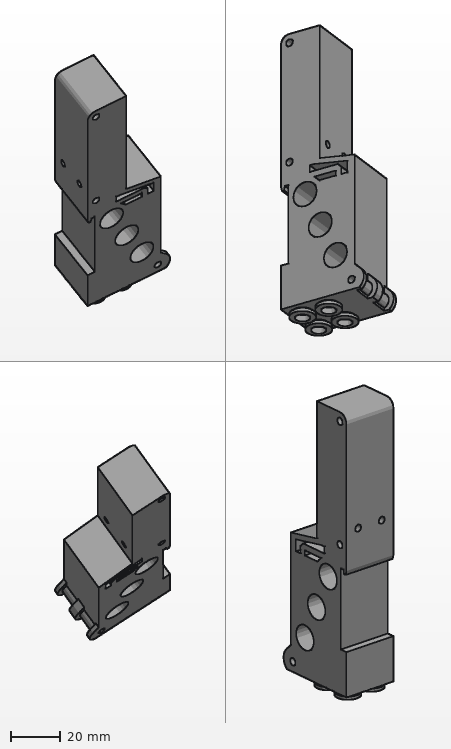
import cadquery as cq
import math


width = 25.0
total_depth = 39.49
body_height = 125.0
body_depth = 35.05

tower_depth = 18.5
top_round = 4.1
shoulder_inner_z = 64.2
shoulder_angle = math.radians(10)
shoulder_outer_z = shoulder_inner_z - (body_depth - tower_depth) * math.tan(shoulder_angle)

recess_depth = 3.5
recess_bottom_z = 20.1
recess_top_z = 56.0
lip_back_y = 1.9
lip_tip_z = 54.1
lip_tip_front_y = 0.5
lip_tip_back_y = 1.5

hinge_y = 33.6
hinge_z = 4.55
lug_radius = total_depth - hinge_y
fork_outer_tine = 2.0
fork_middle_tine = 4.3
barrel_radius = 3.6

pin_hole_diameter = 3.2
upper_pin_y = top_round
upper_pin_z = body_height - top_round
lower_pin_z = 66.3

bore_diameter = 11.0
bore_count = 3
first_bore_y = 26.0
first_bore_z = 17.75
bore_step_y = -7.25
bore_step_z = 15.95

slot_bottom_z = 54.1
slot_outer_y = 31.65
slot_inner_y = 13.75
slot_inner_top_z = 62.2
slot_flat_end_y = 15.8
tongue_outer_y = 28.85
tongue_top_z = 59.1
tongue_chamfer = 1.7
window_outer_y = 26.1
window_inner_top_y = 16.0
window_inner_bottom_y = 18.2
window_top_z = 56.4

port_pitch = 12.5
front_hole_diameter = 3.0
front_hole_z = 73.2
first_fitting_y = 6.5
neck_diameter = 8.0
neck_length = 1.15
flange_diameter = 11.0
flange_thickness = 1.45
fitting_length = 2.86
fitting_bore_diameter = 6.2

half_width = width / 2
port_positions_x = (-port_pitch / 2, port_pitch / 2)


def extrude_across(profile):
    """Extrude a closed YZ profile over the full width."""
    return profile.extrude(half_width, both=True)


def cross_cylinder(y, z, diameter):
    """Cylinder along X over the full width."""
    return extrude_across(cq.Workplane("YZ").center(y, z).circle(diameter / 2))


def make_body():
    diagonal = lug_radius * math.sqrt(0.5)
    lug_tangent_y = hinge_y + diagonal
    lug_tangent_z = hinge_z + diagonal
    lug_root_z = lug_tangent_z + lug_tangent_y - body_depth
    lug_bottom_y = hinge_y + math.sqrt(lug_radius**2 - hinge_z**2)
    round_offset = top_round * (1 - math.sqrt(0.5))
    profile = (
        cq.Workplane("YZ")
        .moveTo(0, 0)
        .lineTo(lug_bottom_y, 0)
        .threePointArc((hinge_y + lug_radius, hinge_z), (lug_tangent_y, lug_tangent_z))
        .lineTo(body_depth, lug_root_z)
        .lineTo(body_depth, shoulder_outer_z)
        .lineTo(tower_depth, shoulder_inner_z)
        .lineTo(tower_depth, body_height)
        .lineTo(top_round, body_height)
        .threePointArc((round_offset, body_height - round_offset), (0, body_height - top_round))
        .lineTo(0, recess_top_z)
        .lineTo(lip_tip_front_y, lip_tip_z)
        .lineTo(lip_tip_back_y, lip_tip_z)
        .lineTo(lip_back_y, recess_top_z)
        .lineTo(recess_depth, recess_top_z)
        .lineTo(recess_depth, recess_bottom_z)
        .lineTo(0, recess_bottom_z)
        .close()
    )
    return extrude_across(profile)


def make_fork_gaps():
    """Gaps between the hinge tines, each leaving a round barrel around the pin."""
    gap_start = fork_middle_tine / 2
    gap_width = half_width - fork_outer_tine - gap_start
    lug_length = total_depth - body_depth
    lug_height = hinge_z + 2 * lug_radius
    gap_center_x = gap_start + gap_width / 2
    gaps = (
        cq.Workplane("XY")
        .pushPoints([(side * gap_center_x, body_depth + lug_length / 2) for side in (-1, 1)])
        .rect(gap_width, lug_length)
        .extrude(lug_height)
    )
    return gaps.cut(cross_cylinder(hinge_y, hinge_z, 2 * barrel_radius))


def make_latch_slots():
    slot_outer_top_z = slot_inner_top_z - (slot_outer_y - slot_flat_end_y) * math.tan(shoulder_angle)
    slot = (
        cq.Workplane("YZ")
        .moveTo(slot_outer_y, slot_bottom_z)
        .lineTo(slot_outer_y, slot_outer_top_z)
        .lineTo(slot_flat_end_y, slot_inner_top_z)
        .lineTo(slot_inner_y, slot_inner_top_z)
        .lineTo(slot_inner_y, tongue_top_z)
        .lineTo(tongue_outer_y - tongue_chamfer, tongue_top_z)
        .lineTo(tongue_outer_y, tongue_top_z - tongue_chamfer)
        .lineTo(tongue_outer_y, slot_bottom_z)
        .close()
    )
    window = (
        cq.Workplane("YZ")
        .moveTo(window_outer_y, slot_bottom_z)
        .lineTo(window_outer_y, window_top_z)
        .lineTo(window_inner_top_y, window_top_z)
        .lineTo(window_inner_bottom_y, slot_bottom_z)
        .close()
    )
    return extrude_across(slot).union(extrude_across(window))


def make_front_hole(x):
    """Hole through the tower from front to back."""
    return (
        cq.Workplane("XZ")
        .center(x, front_hole_z)
        .circle(front_hole_diameter / 2)
        .extrude(-tower_depth)
    )


def make_fitting(x, y):
    """Tube fitting collar below the body: neck, flange, slightly tapered end and tube bore."""
    flange_top_z = -neck_length
    flange_bottom_z = flange_top_z - flange_thickness
    profile = (
        cq.Workplane("XZ")
        .moveTo(fitting_bore_diameter / 2, 0)
        .lineTo(neck_diameter / 2, 0)
        .lineTo(neck_diameter / 2, flange_top_z)
        .lineTo(flange_diameter / 2, flange_top_z)
        .lineTo(flange_diameter / 2, flange_bottom_z)
        .lineTo(fitting_bore_diameter / 2, -fitting_length)
        .close()
    )
    return profile.revolve(360, (0, 0, 0), (0, 1, 0)).translate((x, y, 0))


result = make_body().cut(make_fork_gaps()).cut(make_latch_slots())

for pin_y, pin_z in (
    (hinge_y, hinge_z),
    (upper_pin_y, lower_pin_z),
    (upper_pin_y, upper_pin_z),
):
    result = result.cut(cross_cylinder(pin_y, pin_z, pin_hole_diameter))

for index in range(bore_count):
    bore_y = first_bore_y + index * bore_step_y
    bore_z = first_bore_z + index * bore_step_z
    result = result.cut(cross_cylinder(bore_y, bore_z, bore_diameter))

for port_x in port_positions_x:
    result = result.cut(make_front_hole(port_x))
    for fitting_y in (first_fitting_y, first_fitting_y + port_pitch):
        result = result.union(make_fitting(port_x, fitting_y))